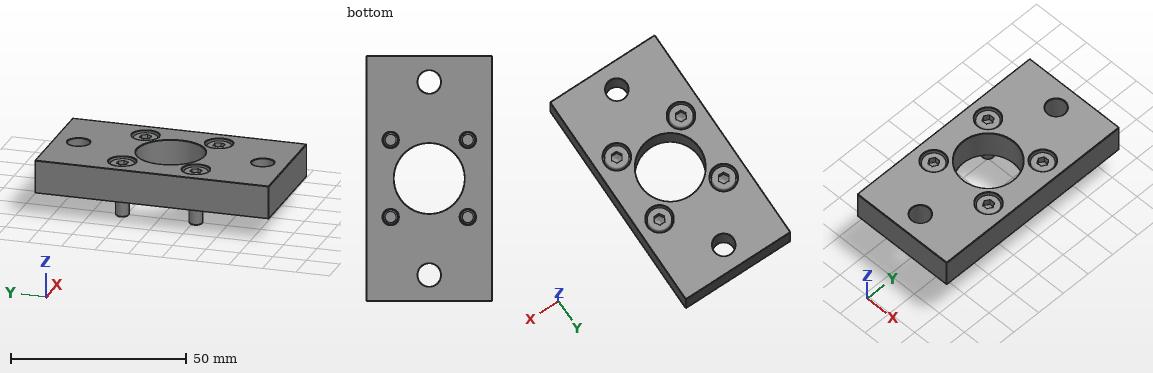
import cadquery as cq
import math

plate_width = 36.0
plate_length = 70.0
plate_thickness = 10.0
edge_chamfer = 0.2

centre_hole_diameter = 20.0
end_hole_diameter = 6.5
end_hole_spacing = 55.0

screw_spacing = 22.0
clearance_diameter = 4.5
counterbore_diameter = 8.0

head_diameter = 7.0
head_height = 4.0
head_recess = 0.5
head_edge_round = 0.4
shank_diameter = 4.0
shank_protrusion = 6.5
shank_tip_chamfer = 0.4
socket_across_flats = 3.0
socket_depth = 2.0
socket_cone_angle = 120.0

counterbore_depth = head_recess + head_height
shank_length = plate_thickness - counterbore_depth + shank_protrusion
half_spacing = screw_spacing / 2
screw_points = [(x, y) for x in (-half_spacing, half_spacing) for y in (-half_spacing, half_spacing)]
end_hole_points = [(0, -end_hole_spacing / 2), (0, end_hole_spacing / 2)]


def make_plate():
    """Chamfered plate with its centre hole, end holes and counterbored screw holes."""
    plate = cq.Workplane("XY").box(plate_width, plate_length, plate_thickness, centered=(True, True, False))
    plate = plate.translate((0, 0, -plate_thickness)).edges().chamfer(edge_chamfer)
    top = plate.faces(">Z").workplane(origin=(0, 0, 0))
    plate = top.hole(centre_hole_diameter)
    plate = plate.pushPoints(end_hole_points).hole(end_hole_diameter)
    plate = plate.pushPoints(screw_points).cboreHole(
        clearance_diameter, counterbore_diameter, counterbore_depth
    )
    plate = plate.faces(">Z").edges("%CIRCLE").chamfer(edge_chamfer)
    return plate.faces("<Z").edges("%CIRCLE").chamfer(edge_chamfer)


def make_socket(head_top):
    """Hexagonal socket with a conical bottom, as a solid to cut from the screw head."""
    corner_radius = socket_across_flats / 2 / math.cos(math.radians(30))
    cone_depth = corner_radius / math.tan(math.radians(socket_cone_angle / 2))
    hexagon = cq.Workplane("XY", origin=(0, 0, head_top)).polygon(6, 2 * corner_radius)
    prism = hexagon.extrude(-(socket_depth + cone_depth))
    drill = (
        cq.Workplane("XZ", origin=(0, 0, head_top))
        .polyline([
            (0, 0),
            (corner_radius, 0),
            (corner_radius, -socket_depth),
            (0, -socket_depth - cone_depth),
        ])
        .close()
        .revolve(360, (0, 0, 0), (0, 1, 0))
    )
    return prism.intersect(drill)


def make_screw():
    """Socket head screw on the Z axis, its head resting on the counterbore floor."""
    seat = cq.Workplane("XY", origin=(0, 0, -counterbore_depth))
    head = seat.circle(head_diameter / 2).extrude(head_height).faces(">Z").edges().fillet(head_edge_round)
    shank = seat.circle(shank_diameter / 2).extrude(-shank_length)
    shank = shank.faces("<Z").edges().chamfer(shank_tip_chamfer)
    return head.union(shank).cut(make_socket(-head_recess))


result = make_plate()
screw = make_screw()
for x, y in screw_points:
    result = result.union(screw.translate((x, y, 0)))